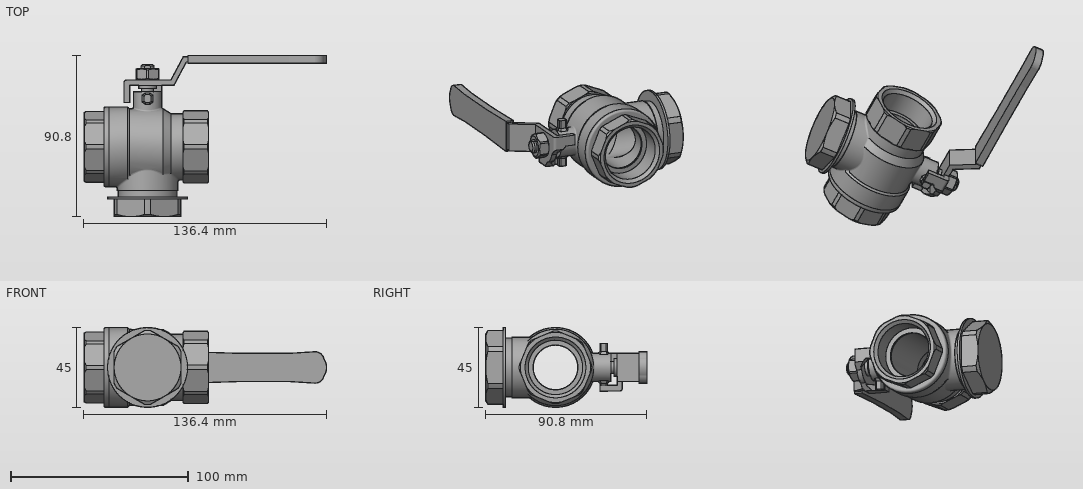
import cadquery as cq
import math


adapter_end_x = -35.7
shoulder_x = -24.6
seam_x = -21.7
rim_end_x = -11.4
barrel_start_x = -10.2
barrel_end_x = 8.7
throat_start_x = 13.2
housing_hex_x = 19.9
housing_end_x = 34.3

rim_d = 45.0
barrel_d = 43.0
throat_d = 37.4
shoulder_fillet = 1.2

housing_octagon_d = 40.8
housing_octagon_flats = 38.6
housing_octagon_bevel = 0.7
adapter_octagon_d = 40.0
adapter_octagon_flats = 37.8
adapter_octagon_bevel = 0.7
adapter_face_d = 37.6
adapter_spigot_d = 37.8
adapter_spigot_length = 1.3
adapter_spigot_end_x = seam_x + adapter_spigot_length

bore_d = 25.0
socket_d = 30.6
socket_mouth_d = 34.2
socket_depth = 14.0
socket_mouth_depth = 2.0

branch_d = 34.2
branch_end_y = -24.5
branch_spigot_d = 33.2
branch_fillet = 1.0
cap_flange_top_y = -28.1
cap_flange_d = 45.0
cap_flange_t = 1.3
cap_end_y = -39.25
cap_flats = 37.6
cap_corner_d = 41.6
cap_face_d = 37.6
cap_bevel_h = 1.2

neck_d = 16.0
neck_top_y = 31.1
neck_fillet = 0.8

lug_y = 27.1
lug_width = 4.0
lug_length = 4.4
lug_tip_z = 13.5
lug_chamfer = 0.8
lug_base_width = 6.4
lug_base_length = 8.0
lug_base_chamfer = 1.9
lug_base_z = 7.2
lug_flare_top_z = 8.9

plate_t = 3.0
plate_bottom_y = 34.6
plate_top_y = plate_bottom_y + plate_t
plate_half_width = 8.0
grip_top_y = 51.5
coating_t = 0.8
handle_top_y = grip_top_y - coating_t
handle_bottom_y = handle_top_y - plate_t
bend_x = 13.1
rise_angle = 62.0

ear_outer = 13.3
ear_t = 3.3
ear_near_edge = 2.2
ear_tip_y = 24.9
ear_slope_y = 30.5
ear_bend_r = 1.5
plate_corner = 0.5
plate_nose_r = 10.0
nose_angle = 19.0

grip_start_x = 22.7
grip_waist_start_x = 51.5
grip_waist_end_x = 79.8
grip_wide_x = 94.25
grip_end_x = 100.73
grip_end_half_width = 8.9
grip_waist_half_width = 8.0
grip_corner_x = 97.2
grip_corner_z = 7.9
grip_nose_x = 99.3
grip_nose_z = 4.6

stem_bottom_y = 21.5
stem_groove_d = 6.85
stem_collar_d = 9.95
stem_collar_y = 32.8
stem_thread_d = 7.5
stem_flats = 6.6
stem_tip_y = 46.3
stem_tip_chamfer = 0.9
nut_flats = 13.0
nut_height = 6.5
nut_corner_d = 14.5
nut_face_d = 11.6
nut_bevel_h = 0.8


def cylinder_x(diameter, x_start, x_end):
    return cq.Workplane("YZ").workplane(offset=x_start).circle(diameter / 2).extrude(x_end - x_start)


def cylinder_y(diameter, y_start, y_end):
    """Cylinder along Y about the stem axis; y_end lies above y_start."""
    return cq.Workplane("XZ").workplane(offset=-y_end).circle(diameter / 2).extrude(y_end - y_start)


def box_about_y(width, y_start, y_end):
    """Selector for edges lying wholly inside a square bar about the stem axis."""
    half = width / 2
    return cq.selectors.BoxSelector((-half, y_start, -half), (half, y_end, half), boundingbox=True)


def prism_y(sides, flats, y_start, y_end):
    """Regular prism along Y with two corners on the Z axis."""
    corner_d = flats / math.cos(math.pi / sides)
    outline = cq.Workplane("XZ").workplane(offset=-y_end).transformed(rotate=(0, 0, 90))
    return outline.polygon(sides, corner_d).extrude(y_end - y_start)


def octagon_x(flats, diameter, x_start, x_end):
    """Octagonal prism along X and the cylinder that its corners are turned down to."""
    corner_d = flats / math.cos(math.pi / 8)
    prism = cq.Workplane("YZ").workplane(offset=x_start).polygon(8, corner_d).extrude(x_end - x_start)
    return prism, cylinder_x(diameter, x_start, x_end)


def socket_cutter(end_x, inward):
    """Threaded socket with a conical mouth; inward is the X direction into the valve."""
    mouth_end_x = end_x + inward * socket_mouth_depth
    bottom_x = end_x + inward * socket_depth
    profile = [
        (end_x, 0),
        (end_x, socket_mouth_d / 2),
        (mouth_end_x, socket_d / 2),
        (bottom_x, socket_d / 2),
        (bottom_x, 0),
    ]
    return cq.Workplane("XY").polyline(profile).close().revolve(360, (0, 0, 0), (1, 0, 0))


def make_lug():
    """Post standing on the neck toward +Z, flared where it meets the neck."""
    post = cq.Workplane("XY").center(0, lug_y).rect(lug_width, lug_length).extrude(lug_tip_z)
    post = post.edges("|Z").chamfer(lug_chamfer)
    base = cq.Sketch().rect(lug_base_width, lug_base_length).vertices().chamfer(lug_base_chamfer)
    top = cq.Sketch().rect(lug_width, lug_length).vertices().chamfer(lug_chamfer)
    rise = cq.Location(cq.Vector(0, 0, lug_flare_top_z - lug_base_z))
    flare = cq.Workplane("XY").center(0, lug_y).workplane(offset=lug_base_z)
    flare = flare.placeSketch(base, top.moved(rise)).loft()
    return post.union(flare)


def make_housing():
    branch_root = box_about_y(branch_d + branch_fillet, branch_end_y + branch_fillet, 0)
    neck_root = box_about_y(neck_d + neck_fillet, 0, neck_top_y - neck_fillet)
    profile = [
        (seam_x, 0),
        (seam_x, rim_d / 2),
        (rim_end_x, rim_d / 2),
        (barrel_start_x, barrel_d / 2),
        (barrel_end_x, barrel_d / 2),
        (throat_start_x, throat_d / 2),
        (housing_hex_x, throat_d / 2),
        (housing_hex_x, 0),
    ]
    shell = cq.Workplane("XY").polyline(profile).close().revolve(360, (0, 0, 0), (1, 0, 0))
    shell = shell.union(cylinder_y(branch_d, branch_end_y, 0))
    shell = shell.edges(branch_root).fillet(branch_fillet)
    shell = shell.union(cylinder_y(neck_d, 0, neck_top_y))
    shell = shell.edges(neck_root).fillet(neck_fillet)
    prism, barrel = octagon_x(housing_octagon_flats, housing_octagon_d, housing_hex_x, housing_end_x)
    shell = shell.union(prism.intersect(barrel.edges().chamfer(housing_octagon_bevel)))
    shell = shell.union(cylinder_y(branch_spigot_d, cap_flange_top_y, 0))
    lug = make_lug()
    shell = shell.union(lug).union(lug.mirror("XY"))
    shell = shell.cut(cylinder_x(adapter_spigot_d, seam_x, adapter_spigot_end_x))
    shell = shell.cut(cylinder_x(bore_d, seam_x, housing_end_x))
    shell = shell.cut(socket_cutter(housing_end_x, -1))
    shell = shell.cut(cylinder_y(bore_d, cap_flange_top_y, 0))
    return shell.cut(cylinder_y(stem_groove_d, stem_bottom_y, neck_top_y))


def make_adapter():
    flange = cylinder_x(rim_d, shoulder_x, seam_x).faces("<X").edges().fillet(shoulder_fillet)
    prism, barrel = octagon_x(adapter_octagon_flats, adapter_octagon_d, adapter_end_x, shoulder_x)
    bevel_width = (adapter_octagon_d - adapter_face_d) / 2
    barrel = barrel.faces("<X").edges().chamfer(bevel_width, adapter_octagon_bevel)
    wrench_grip = prism.intersect(barrel)
    spigot = cylinder_x(adapter_spigot_d, seam_x, adapter_spigot_end_x)
    adapter = flange.union(wrench_grip).union(spigot).cut(socket_cutter(adapter_end_x, 1))
    return adapter.cut(cylinder_x(bore_d, adapter_end_x, adapter_spigot_end_x))


def make_cap():
    flange = cylinder_y(cap_flange_d, cap_flange_top_y - cap_flange_t, cap_flange_top_y)
    prism = prism_y(6, cap_flats, cap_end_y, cap_flange_top_y)
    turned = cylinder_y(cap_corner_d, cap_end_y, cap_flange_top_y).faces("<Y").edges()
    turned = turned.chamfer(cap_bevel_h, (cap_corner_d - cap_face_d) / 2)
    return flange.union(prism.intersect(turned))


def make_stem():
    groove = cylinder_y(stem_groove_d, stem_bottom_y, stem_collar_y)
    collar = cylinder_y(stem_collar_d, stem_collar_y, plate_bottom_y)
    tip = cylinder_y(stem_thread_d, plate_bottom_y, stem_tip_y)
    tip = tip.faces(">Y").edges().chamfer(stem_tip_chamfer)
    flats = cq.Workplane("XY").box(2 * stem_thread_d, 2 * stem_tip_y, stem_flats)
    return groove.union(collar).union(tip.intersect(flats))


def make_nut():
    top_y = plate_top_y + nut_height
    prism = prism_y(6, nut_flats, plate_top_y, top_y)
    turned = cylinder_y(nut_corner_d, plate_top_y, top_y).edges()
    turned = turned.chamfer(nut_bevel_h, (nut_corner_d - nut_face_d) / 2)
    nut = prism.intersect(turned)
    return nut.cut(cylinder_y(stem_thread_d, plate_top_y, top_y))


def make_grip():
    """Coated handle: a wide start and end with a narrower waist, rounded off at +X."""
    outline = (
        cq.Workplane("XZ")
        .workplane(offset=-grip_top_y)
        .moveTo(grip_start_x, -grip_end_half_width)
        .lineTo(grip_waist_start_x, -grip_waist_half_width)
        .lineTo(grip_waist_end_x, -grip_waist_half_width)
        .lineTo(grip_wide_x, -grip_end_half_width)
        .threePointArc((grip_corner_x, -grip_corner_z), (grip_nose_x, -grip_nose_z))
        .threePointArc((grip_end_x, 0), (grip_nose_x, grip_nose_z))
        .threePointArc((grip_corner_x, grip_corner_z), (grip_wide_x, grip_end_half_width))
        .lineTo(grip_waist_end_x, grip_waist_half_width)
        .lineTo(grip_waist_start_x, grip_waist_half_width)
        .lineTo(grip_start_x, grip_end_half_width)
        .close()
    )
    return outline.extrude(plate_t + 2 * coating_t)


def stop_plate_plan():
    """Plan of the plate, extruded through plate and ears; symmetric about the diagonal x = z."""
    nose_mid = plate_nose_r / math.sqrt(2)
    nose_near = plate_nose_r * math.cos(math.radians(nose_angle))
    nose_far = plate_nose_r * math.sin(math.radians(nose_angle))
    return (
        cq.Workplane("XZ")
        .workplane(offset=-plate_top_y)
        .moveTo(plate_half_width, plate_half_width)
        .lineTo(-ear_outer, plate_half_width)
        .lineTo(-ear_outer, plate_corner)
        .lineTo(-nose_near, -nose_far)
        .threePointArc((-nose_mid, -nose_mid), (-nose_far, -nose_near))
        .lineTo(plate_corner, -ear_outer)
        .lineTo(plate_half_width, -ear_outer)
        .close()
        .extrude(plate_top_y - ear_tip_y)
    )


def make_ear():
    """Stop ear at the -X edge of the plate, with a 45 degree shoulder up to the plate."""
    slope_height = plate_bottom_y - ear_slope_y
    side = [
        (plate_bottom_y, plate_half_width),
        (ear_tip_y, plate_half_width),
        (ear_tip_y, ear_near_edge),
        (ear_slope_y, ear_near_edge),
        (plate_bottom_y, ear_near_edge - slope_height),
    ]
    return cq.Workplane("YZ").workplane(offset=-ear_outer).polyline(side).close().extrude(ear_t)


def make_stop_plate():
    """Flat plate under the nut with one ear turned down at -X and its twin at -Z."""
    span = plate_half_width + ear_outer
    middle = (plate_half_width - ear_outer) / 2
    plate = cq.Workplane("XY").box(span, plate_t, span)
    plate = plate.translate((middle, plate_bottom_y + plate_t / 2, middle))
    plate = plate.edges(">Y and (<X or <Z)").fillet(ear_bend_r)
    ear = make_ear()
    plate = plate.union(ear).union(ear.mirror(cq.Vector(1, 0, -1)))
    return plate.intersect(stop_plate_plan())


def make_lever():
    rise_run = (handle_top_y - plate_top_y) / math.tan(math.radians(rise_angle))
    bottom_shift = plate_t * math.tan(math.radians(rise_angle / 2))
    strip_profile = [
        (plate_half_width, plate_bottom_y),
        (bend_x + bottom_shift, plate_bottom_y),
        (bend_x + bottom_shift + rise_run, handle_bottom_y),
        (grip_start_x, handle_bottom_y),
        (grip_start_x, handle_top_y),
        (bend_x + rise_run, handle_top_y),
        (bend_x, plate_top_y),
        (plate_half_width, plate_top_y),
    ]
    strip = cq.Workplane("XY").polyline(strip_profile).close().extrude(plate_half_width, both=True)
    lever = strip.union(make_stop_plate()).union(make_grip())
    return lever.cut(make_stem())


housing = make_housing()
adapter = make_adapter()
cap = make_cap()
stem = make_stem()
nut = make_nut()
lever = make_lever()

result = cq.Compound.makeCompound(
    [housing.val(), adapter.val(), cap.val(), stem.val(), nut.val(), lever.val()]
)